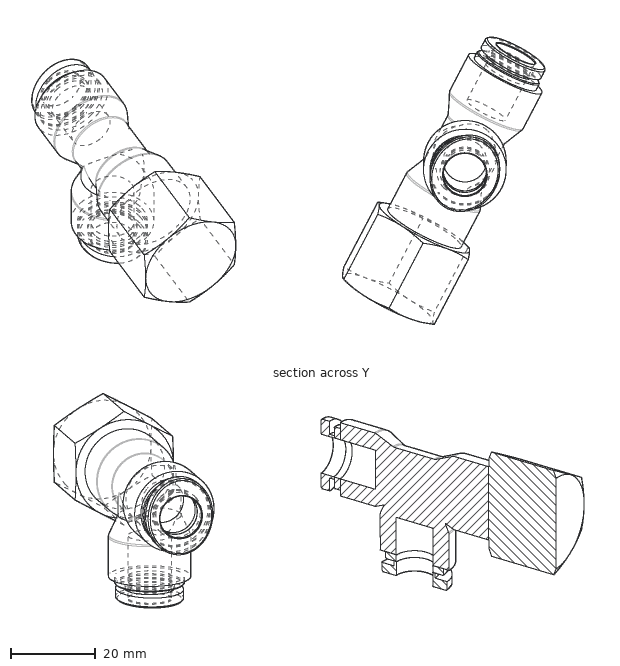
import cadquery as cq
import math

ARM_TO_MINUS_X = 90
ARM_TO_MINUS_Z = 0
ARM_TO_PLUS_X = -90
RUN_TURNS = [ARM_TO_MINUS_X, ARM_TO_PLUS_X]
PORT_TURNS = [ARM_TO_MINUS_X, ARM_TO_MINUS_Z]

OVERALL_LENGTH = 66.4
PORT_REACH = 26.4
NUT_REACH = OVERALL_LENGTH - PORT_REACH

THROAT_DIA = 14.95
BODY_DIA = 19.5
RUN_THROAT_REACH = 5.85
BRANCH_THROAT_REACH = 6.05
SHOULDER_REACH = 11.0
ARM_REACH = 20.9
CONE_FILLET = 1.0
PORT_BORE_DIA = 10.2
PORT_BORE_DEPTH = ARM_REACH - SHOULDER_REACH

COLLAR_DIA = 16.5
COLLAR_LENGTH = 1.8
COLLAR_CHAMFER = 0.25
COLLAR_REACH = ARM_REACH + COLLAR_LENGTH

SLEEVE_BORE_DIA = 10.15
SLEEVE_NECK_DIA = 11.7
FLANGE_LONG_DIA = 18.5
FLANGE_SHORT_DIA = 15.9
FLANGE_THICKNESS = 2.5
FLANGE_CHAMFER = 0.4
MOUTH_CHAMFER = 0.2

NUT_ACROSS_FLATS = 24.0
NUT_ACROSS_CORNERS = NUT_ACROSS_FLATS / math.cos(math.radians(30))
NUT_CORNER_CHAMFER = 0.7
NUT_LENGTH = NUT_REACH - ARM_REACH


def turned(body, angle):
    """Turn a body built along -Z about the Y axis."""
    return body.rotate((0, 0, 0), (0, 1, 0), angle)


def make_arm(throat_reach):
    """One stepped round arm: throat, cone and wide body, with the cone's wide end rounded."""
    outline = [
        (0, 0),
        (THROAT_DIA / 2, 0),
        (THROAT_DIA / 2, -throat_reach),
        (BODY_DIA / 2, -SHOULDER_REACH),
        (BODY_DIA / 2, -ARM_REACH),
        (0, -ARM_REACH),
    ]
    arm = cq.Workplane("XZ").polyline(outline).close().revolve(360, (0, 0, 0), (0, 1, 0))
    return arm.faces("%CONE").edges("%CIRCLE and <Z").fillet(CONE_FILLET)


def make_run_arm():
    """An arm of the straight run, which is rounded at the narrow end of its cone as well."""
    arm = make_arm(RUN_THROAT_REACH)
    return arm.faces("%CONE").edges("%CIRCLE and >Z").fillet(CONE_FILLET)


def make_port_bore():
    """The blind round space that receives the tube."""
    return cq.Workplane("XY", origin=(0, 0, -ARM_REACH)).circle(PORT_BORE_DIA / 2).extrude(PORT_BORE_DEPTH)


def make_housing():
    """A branch and two run arms joined at the origin; the branch and one run arm are bored for tubes."""
    housing = turned(make_arm(BRANCH_THROAT_REACH), ARM_TO_MINUS_Z)
    for angle in RUN_TURNS:
        housing = housing.union(turned(make_run_arm(), angle))
    for angle in PORT_TURNS:
        housing = housing.cut(turned(make_port_bore(), angle))
    return housing


def make_collar():
    """The ring seated on the end face of a ported arm."""
    ring = cq.Workplane("XY", origin=(0, 0, -COLLAR_REACH)).circle(COLLAR_DIA / 2).extrude(COLLAR_LENGTH)
    ring = ring.faces("<Z").edges().chamfer(COLLAR_CHAMFER)
    return ring.faces("<Z").workplane().hole(PORT_BORE_DIA)


def make_sleeve():
    """The oval flange and its round neck, which rests against the collar."""
    flange = (
        cq.Workplane("XY", origin=(0, 0, -PORT_REACH))
        .ellipse(FLANGE_LONG_DIA / 2, FLANGE_SHORT_DIA / 2)
        .extrude(FLANGE_THICKNESS)
    )
    flange = flange.faces("<Z").edges().chamfer(FLANGE_CHAMFER)
    neck = (
        cq.Workplane("XY", origin=(0, 0, -PORT_REACH))
        .circle(SLEEVE_NECK_DIA / 2)
        .extrude(PORT_REACH - COLLAR_REACH)
    )
    sleeve = flange.union(neck).faces("<Z").workplane().hole(SLEEVE_BORE_DIA)
    mouth = sleeve.faces("<Z").edges("%CIRCLE")
    return mouth.chamfer(MOUTH_CHAMFER)


def make_nut():
    """The hexagon with corners up and down, its corners coned off at both ends."""
    end_radius = NUT_ACROSS_FLATS / 2
    corner_radius = NUT_ACROSS_CORNERS / 2
    hexagon = (
        cq.Workplane("YZ", origin=(ARM_REACH, 0, 0))
        .polygon(6, NUT_ACROSS_CORNERS)
        .extrude(NUT_LENGTH)
        .rotate((0, 0, 0), (1, 0, 0), 90)
    )
    cone_outline = [
        (ARM_REACH, 0),
        (ARM_REACH, end_radius),
        (ARM_REACH + NUT_CORNER_CHAMFER, corner_radius),
        (NUT_REACH - NUT_CORNER_CHAMFER, corner_radius),
        (NUT_REACH, end_radius),
        (NUT_REACH, 0),
    ]
    envelope = cq.Workplane("XZ").polyline(cone_outline).close().revolve(360, (0, 0, 0), (1, 0, 0))
    return hexagon.intersect(envelope)


housing = make_housing()
nut = make_nut()
collars = [turned(make_collar(), angle) for angle in PORT_TURNS]
sleeves = [turned(make_sleeve(), angle) for angle in PORT_TURNS]

result = cq.Compound.makeCompound([
    housing.solids().val(),
    nut.solids().val(),
    *[collar.solids().val() for collar in collars],
    *[sleeve.solids().val() for sleeve in sleeves],
])